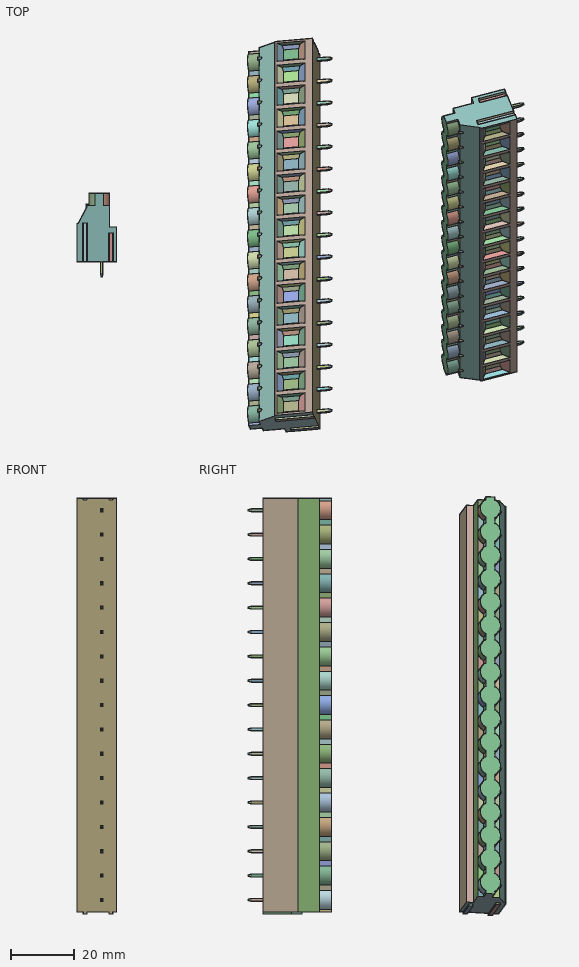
import cadquery as cq

length = 130.2
width = 12.5
pole_count = 17
rib_height = 0.61
body_length = length - rib_height
pitch = body_length / pole_count

body_depth = 21.5
ledge_y = 17.7
slope_top_x = 3.4
slope_foot_x = 0.5
slope_foot_y = 12.2
wire_face_top_y = 11.8
step_x = 10.3
step_y = 10.9

screw_x = 7.0
screw_radius = step_x - screw_x
web_thickness = 2.7

stud_radius = 0.5
stud_x = 3.4
stud_top_y = 18.1

entry_height = 6.2
entry_mouth_low_y = 2.3
entry_mouth_high_y = 11.3
entry_floor_low_y = 4.8
entry_floor_high_y = 9.6
entry_floor_height = 3.5
entry_straight_depth = 1.8
entry_depth = 2.3

pin_width = 0.8
pin_height = 0.98
pin_x = 7.8
pin_length = 4.7
pin_taper_length = 1.0
pin_tip_size = 0.4

keys = [(2.6, slope_foot_y), (10.7, 9.0)]
rib_width = 1.3
groove_mouth_width = 1.5
groove_floor_width = 0.9
groove_depth = 0.7

pole_heights = [(pole + 0.5) * pitch for pole in range(pole_count)]


def y_cylinder(x, z, radius, y_start, y_end):
    """Cylinder along Y."""
    foot = cq.Vector(x, y_start, z)
    along_y = cq.Vector(0, 1, 0)
    return cq.Workplane(cq.Solid.makeCylinder(radius, y_end - y_start, foot, along_y))


def make_body():
    """Housing with the web that stands between the screw heads."""
    housing = (
        cq.Workplane("XY")
        .polyline([
            (0, 0), (width, 0), (width, step_y), (step_x, step_y), (step_x, ledge_y),
            (slope_top_x, ledge_y), (slope_foot_x, slope_foot_y), (0, wire_face_top_y),
        ])
        .close()
        .extrude(body_length)
    )
    web = cq.Workplane("XY").box(
        web_thickness, body_depth, body_length, centered=(True, False, False)
    )
    return housing.union(web.translate((screw_x, 0, 0)))


def make_entry():
    """Wire entry around z = 0: sloped in Y over its full depth, in Z only near its floor."""
    side = (
        cq.Workplane("XY")
        .workplane(offset=-entry_height / 2)
        .polyline([
            (0, entry_mouth_low_y), (entry_depth, entry_floor_low_y),
            (entry_depth, entry_floor_high_y), (0, entry_mouth_high_y),
        ])
        .close()
        .extrude(entry_height)
    )
    half_mouth = entry_height / 2
    half_floor = entry_floor_height / 2
    plan = (
        cq.Workplane("XZ")
        .polyline([
            (0, -half_mouth), (entry_straight_depth, -half_mouth), (entry_depth, -half_floor),
            (entry_depth, half_floor), (entry_straight_depth, half_mouth), (0, half_mouth),
        ])
        .close()
        .extrude(-body_depth)
    )
    return side.intersect(plan)


def make_pin():
    """Solder pin around z = 0, tapered at its free end."""
    shank_length = pin_length - pin_taper_length
    shank = cq.Workplane("XZ").center(pin_x, 0).rect(pin_width, pin_height).extrude(shank_length)
    return (
        shank.faces("<Y")
        .workplane(centerOption="CenterOfMass")
        .rect(pin_width, pin_height)
        .workplane(offset=pin_taper_length)
        .rect(pin_tip_size, pin_tip_size)
        .loft(combine=True)
    )


def make_rib(x, reach):
    """Rib hanging below the lower end of the body."""
    rib = cq.Workplane("XY").box(rib_width, reach, rib_height, centered=(True, False, False))
    return rib.translate((x, 0, -rib_height))


def make_groove(x, reach):
    """Groove into the upper end of the body, narrowing towards its floor."""
    floor_z = body_length - groove_depth
    half_mouth = groove_mouth_width / 2
    half_floor = groove_floor_width / 2
    return (
        cq.Workplane("XZ")
        .polyline([
            (x - half_mouth, body_length), (x - half_floor, floor_z),
            (x + half_floor, floor_z), (x + half_mouth, body_length),
        ])
        .close()
        .extrude(-reach)
    )


result = make_body()
entry = make_entry()
pin = make_pin()
for z in pole_heights:
    result = result.cut(entry.translate((0, 0, z)))
    result = result.union(y_cylinder(screw_x, z, screw_radius, ledge_y, body_depth))
    result = result.union(y_cylinder(stud_x, z, stud_radius, wire_face_top_y, stud_top_y))
    result = result.union(pin.translate((0, 0, z)))
for x, reach in keys:
    result = result.union(make_rib(x, reach))
    result = result.cut(make_groove(x, reach))